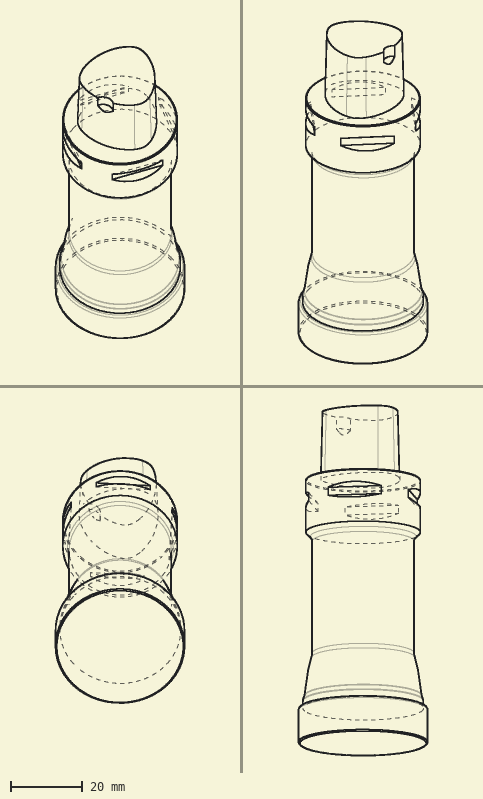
import cadquery as cq
import math

total_height = 94.0
nut_height = 10.1
flange_top = 74.9
flange_bottom = 60.0

nut_radius = 36.0 / 2
nut_top_fillet = 0.6
nut_bottom_chamfer = 0.4

flange_radius = 32.0 / 2
flange_chamfer = 0.3
neck_radius = 28.5 / 2
neck_fillet = 1.9
rim_radius = 16.8
rim_top = 12.1
rim_blend = 0.75
bell_bottom = 13.5
bell_bottom_radius = 16.4
bell_bulge = 0.3
bell_top = 24.3
bell_top_radius = 14.5
neck_bottom = 25.7
bell_blend_sagitta = 0.05

shank_base_mean_radius = 11.0
shank_top_mean_radius = 10.5
lobe_height = 0.8
lobe_count = 3
lobe_half_angle = 27.0
span_points = 7

notch_radius = 2.9
notch_axis_offset = 11.3
notch_depth = 3.3

pocket_count = 4
pocket_flat_distance = 14.1
pocket_center_z = 69.1
pocket_flat_height = 2.3
pocket_mouth_height = 4.4
pocket_length = 2 * flange_radius


def make_nut():
    nut = cq.Workplane("XY").circle(nut_radius).extrude(nut_height)
    nut = nut.faces(">Z").edges().fillet(nut_top_fillet)
    return nut.faces("<Z").edges().chamfer(nut_bottom_chamfer)


def make_turned_body():
    shoulder_bottom = flange_bottom - (flange_radius - neck_radius)
    tangent_length = neck_fillet * math.tan(math.radians(22.5))
    blend_start = (
        neck_radius + tangent_length * math.cos(math.radians(45)),
        shoulder_bottom + tangent_length * math.sin(math.radians(45)),
    )
    blend_end = (neck_radius, shoulder_bottom - tangent_length)
    blend_center = (neck_radius + neck_fillet, blend_end[1])
    blend_middle = (
        blend_center[0] - neck_fillet * math.cos(math.radians(22.5)),
        blend_center[1] + neck_fillet * math.sin(math.radians(22.5)),
    )
    neck_blend_middle = (
        (neck_radius + bell_top_radius) / 2 - bell_blend_sagitta,
        (neck_bottom + bell_top) / 2,
    )
    bell_middle = (
        (bell_top_radius + bell_bottom_radius) / 2 + bell_bulge,
        (bell_top + bell_bottom) / 2,
    )
    profile = (
        cq.Workplane("XZ")
        .moveTo(0, nut_height)
        .lineTo(rim_radius, nut_height)
        .lineTo(rim_radius, rim_top)
        .lineTo(bell_bottom_radius, bell_bottom)
        .threePointArc(bell_middle, (bell_top_radius, bell_top))
        .threePointArc(neck_blend_middle, (neck_radius, neck_bottom))
        .lineTo(*blend_end)
        .threePointArc(blend_middle, blend_start)
        .lineTo(flange_radius, flange_bottom)
        .lineTo(flange_radius, flange_top - flange_chamfer)
        .lineTo(flange_radius - flange_chamfer, flange_top)
        .lineTo(0, flange_top)
        .close()
    )
    body = profile.revolve(360, (0, 0, 0), (0, 1, 0))
    bends = body.edges(cq.selectors.BoxSelector(
        (-nut_radius, -nut_radius, rim_top - rim_blend / 2),
        (nut_radius, nut_radius, bell_bottom + rim_blend / 2),
        boundingbox=True,
    )).edges("%CIRCLE")
    return bends.fillet(rim_blend)


def lobed_point(mean_radius, normal_angle, z):
    """Point of the lobed outline whose outward normal has the given angle; one lobe is at +Y."""
    phase = lobe_count * (normal_angle - math.pi / 2)
    distance = mean_radius + lobe_height * math.cos(phase)
    slope = -lobe_count * lobe_height * math.sin(phase)
    return cq.Vector(
        distance * math.cos(normal_angle) - slope * math.sin(normal_angle),
        distance * math.sin(normal_angle) + slope * math.cos(normal_angle),
        z,
    )


def lobed_wire(mean_radius, z):
    """Closed outline of alternating lobe and side curves, joined tangentially."""
    half_lobe = math.radians(lobe_half_angle)
    lobe_pitch = 2 * math.pi / lobe_count
    spans = []
    for index in range(lobe_count):
        tip = math.pi / 2 + index * lobe_pitch
        spans.append((tip - half_lobe, tip + half_lobe))
        spans.append((tip + half_lobe, tip + lobe_pitch - half_lobe))
    curves = []
    for start, end in spans:
        step = (end - start) / (span_points - 1)
        angles = [start + step * count for count in range(span_points)]
        points = [lobed_point(mean_radius, angle, z) for angle in angles]
        tangents = [cq.Vector(-math.sin(a), math.cos(a), 0) for a in (angles[0], angles[-1])]
        curves.append(cq.Edge.makeSpline(points, tangents=tangents))
    return cq.Wire.assembleEdges(curves)


def make_shank():
    base = lobed_wire(shank_base_mean_radius, flange_top)
    top = lobed_wire(shank_top_mean_radius, total_height)
    return cq.Workplane("XY").newObject([cq.Solid.makeLoft([base, top], True)])


def make_notch_cutter():
    floor_rim = total_height - notch_depth
    return (
        cq.Workplane("XZ", origin=(0, -notch_axis_offset, 0))
        .moveTo(0, total_height)
        .lineTo(notch_radius, total_height)
        .lineTo(notch_radius, floor_rim)
        .lineTo(0, floor_rim - notch_radius)
        .close()
        .revolve(360, (0, 0, 0), (0, 1, 0))
    )


def make_pocket_cutter(angle):
    """Straight trapezoidal groove across the flange, facing +X before it is turned."""
    half_flat = pocket_flat_height / 2
    half_mouth = pocket_mouth_height / 2
    return (
        cq.Workplane("XZ", origin=(0, 0, pocket_center_z))
        .moveTo(pocket_flat_distance, -half_flat)
        .lineTo(flange_radius, -half_mouth)
        .lineTo(flange_radius, half_mouth)
        .lineTo(pocket_flat_distance, half_flat)
        .close()
        .extrude(pocket_length / 2, both=True)
        .rotate((0, 0, 0), (0, 0, 1), angle)
    )


def make_holder():
    holder = make_turned_body().union(make_shank()).cut(make_notch_cutter())
    pocket_pitch = 360 / pocket_count
    for index in range(pocket_count):
        holder = holder.cut(make_pocket_cutter((index + 0.5) * pocket_pitch))
    return holder


nut = make_nut()
holder = make_holder()
result = cq.Compound.makeCompound([nut.val(), *holder.solids().vals()])